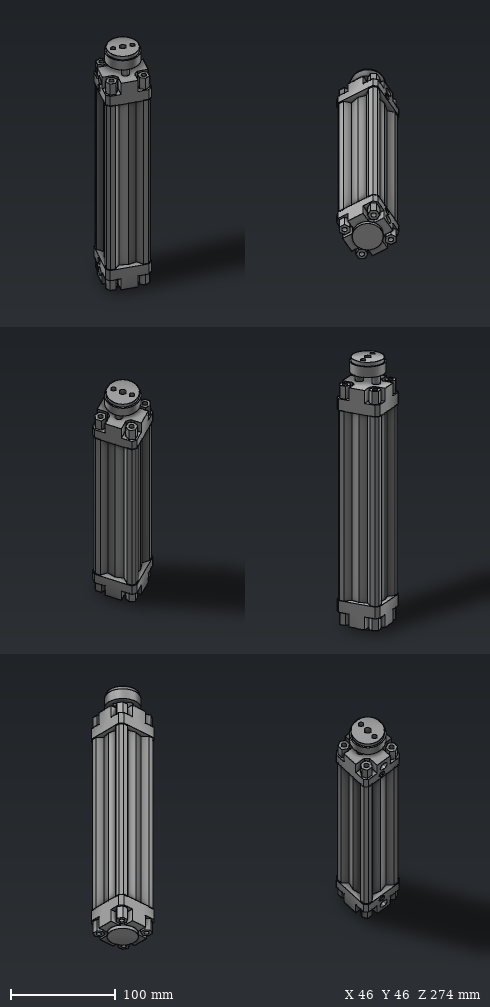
import cadquery as cq
import math

total_height = 274.0

head_diameter = 35.0
head_height = 15.0
spigot_diameter = 32.0
spigot_height = 4.0
rod_diameter = 8.0
rod_length = 10.7
rod_offset = 9.0
center_hole_diameter = 6.5
dowel_hole_diameter = 5.0
dowel_hole_offset = 9.5

cover_width = 46.0
cover_chamfer = 3.5
cover_height = 25.2
pocket_depth = 13.2
cross_width = 17.0
pocket_corner_chamfer = 3.5
boss_diameter = 30.0
boss_height = 3.8

bolt_offset = 16.2
bolt_flats = 10.1
bolt_hole_diameter = 5.0
bolt_hole_depth = 10.0
drill_tip_angle = 118.0

port_diameter = 8.8
port_depth = 11.0
port_distance = 9.3
screw_diameter = 6.5
screw_depth = 1.5
screw_distance = 19.7
screw_x = -2.5

tube_width = 43.8
tube_chamfer = 3.0
groove_mouth = 14.0
groove_depth = 5.5
ridge_height = 2.2

housing_top = total_height - head_height - rod_length
housing_height = housing_top - boss_height
tube_height = housing_height - 2 * cover_height
tube_bottom = boss_height + cover_height
half_cover = cover_width / 2
half_cross = cross_width / 2
bolt_corner_diameter = bolt_flats / math.cos(math.pi / 6)
pocket_width = half_cover - half_cross


def make_corner_pocket():
    """Corner cut-out at +X +Y below the cover's outer face, chamfered at its inner corner."""
    center = half_cross + pocket_width / 2
    return (
        cq.Workplane("XY", origin=(center, center, cover_height - pocket_depth))
        .rect(pocket_width, pocket_width)
        .extrude(pocket_depth)
        .edges("|Z and <X and <Y")
        .chamfer(pocket_corner_chamfer)
    )


def make_bolt_head():
    """Hexagonal bolt head at +X +Y, with one corner pointing along X."""
    return (
        cq.Workplane("XY", origin=(bolt_offset, bolt_offset, cover_height - pocket_depth))
        .polygon(6, bolt_corner_diameter)
        .extrude(pocket_depth)
    )


def make_bolt_hole():
    """Blind hole with a conical drill tip, sunk into the bolt head from its outer face."""
    radius = bolt_hole_diameter / 2
    tip_height = radius / math.tan(math.radians(drill_tip_angle / 2))
    return (
        cq.Workplane("XZ")
        .lineTo(radius, 0)
        .lineTo(radius, -bolt_hole_depth)
        .lineTo(0, -bolt_hole_depth - tip_height)
        .close()
        .revolve(360, (0, 0, 0), (0, 1, 0))
        .translate((bolt_offset, bolt_offset, cover_height))
    )


def make_front_hole(diameter, depth, x, distance):
    """Blind hole in the -Y face, at a distance below the cover's outer face."""
    return (
        cq.Workplane("XZ", origin=(x, -half_cover, cover_height - distance))
        .circle(diameter / 2)
        .extrude(-depth)
    )


def make_cover():
    """Cover standing on Z = 0 with its outer face up."""
    cover = (
        cq.Workplane("XY")
        .rect(cover_width, cover_width)
        .extrude(cover_height)
        .edges("|Z")
        .chamfer(cover_chamfer)
    )
    pocket = make_corner_pocket()
    bolt_head = make_bolt_head()
    bolt_hole = make_bolt_hole()
    for quarter in range(4):
        turn = ((0, 0, 0), (0, 0, 1), 90 * quarter)
        cover = cover.cut(pocket.rotate(*turn))
        cover = cover.union(bolt_head.rotate(*turn))
        cover = cover.cut(bolt_hole.rotate(*turn))
    cover = cover.cut(make_front_hole(port_diameter, port_depth, 0, port_distance))
    return cover.cut(make_front_hole(screw_diameter, screw_depth, screw_x, screw_distance))


def make_groove():
    """Wide groove along the -Y side of the tube, with 45 degree flanks and a ridged floor."""
    face_y = -tube_width / 2
    floor_y = face_y + groove_depth
    floor_edge = groove_mouth - groove_depth
    outline = [
        (-groove_mouth, face_y),
        (groove_mouth, face_y),
        (floor_edge, floor_y),
        (0, floor_y - ridge_height),
        (-floor_edge, floor_y),
    ]
    return cq.Workplane("XY").polyline(outline).close().extrude(tube_height)


def make_tube():
    """Square tube profile with chamfered corners and one groove in each side."""
    tube = (
        cq.Workplane("XY")
        .rect(tube_width, tube_width)
        .extrude(tube_height)
        .edges("|Z")
        .chamfer(tube_chamfer)
    )
    groove = make_groove()
    for quarter in range(4):
        tube = tube.cut(groove.rotate((0, 0, 0), (0, 0, 1), 90 * quarter))
    return tube


def make_housing():
    """Tube closed by two mirrored covers, with a round boss underneath."""
    cover = make_cover()
    top_cover = cover.translate((0, 0, tube_bottom + tube_height))
    bottom_cover = cover.mirror("XY").translate((0, 0, tube_bottom))
    boss = cq.Workplane("XY").circle(boss_diameter / 2).extrude(boss_height)
    tube = make_tube().translate((0, 0, tube_bottom))
    return tube.union(top_cover).union(bottom_cover).union(boss)


def make_piston():
    """Drilled round head carried by two rods that stand on the housing."""
    rods = (
        cq.Workplane("XY", origin=(0, 0, housing_top))
        .pushPoints([(-rod_offset, 0), (rod_offset, 0)])
        .circle(rod_diameter / 2)
        .extrude(rod_length)
    )
    head = (
        cq.Workplane("XY", origin=(0, 0, housing_top + rod_length))
        .circle(head_diameter / 2)
        .extrude(head_height - spigot_height)
        .faces(">Z")
        .workplane()
        .circle(spigot_diameter / 2)
        .extrude(spigot_height)
    )
    head = head.faces(">Z").workplane().hole(center_hole_diameter)
    head = (
        head.faces(">Z")
        .workplane()
        .pushPoints([(0, -dowel_hole_offset), (0, dowel_hole_offset)])
        .hole(dowel_hole_diameter)
    )
    return head.union(rods)


housing = make_housing()
piston = make_piston()

result = cq.Compound.makeCompound([housing.val(), piston.val()])